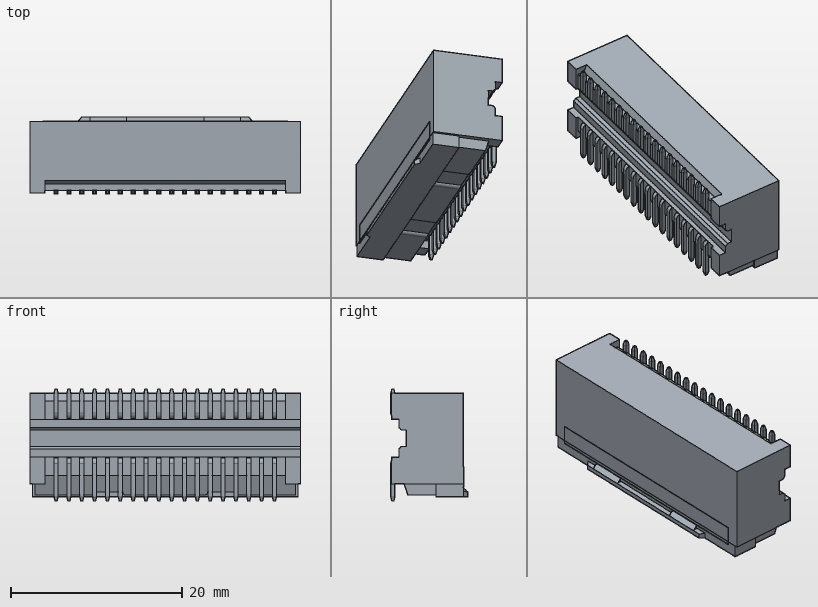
import cadquery as cq
import math


housing_length = 31.6
housing_depth = 8.38
housing_height = 10.6

slot_z = 5.35
outer_slot_height = 4.4
outer_slot_depth = 0.85
inner_slot_height = 1.9
inner_slot_depth = 1.7
slot_chamfer = 0.3

end_wall = 1.75
recess_length = housing_length - 2 * end_wall
recess_depth = 0.3
shelf_depth = 1.1
top_shelf_z = 9.7
bottom_shelf_z = 2 * slot_z - top_shelf_z
top_recess_depth = 1.5

skirt_length = 30.4
skirt_bottom = -1.3
skirt_front_bottom = 1.9

grip_offset = 6.65
notch_width = 3.4
notch_height = 0.35
notch_round = notch_height
bump_width = 4.25

plate_length = 31.0
plate_thickness = 3.2
plate_bottom = -1.5
plate_front = housing_depth - plate_thickness
lip_depth = 0.52
lip_length = 20.4
lip_end_taper = 0.45
bump_rise = lip_depth
lip_height = 0.55
lip_top_rise = 0.13
lip_top = plate_bottom + lip_height
pad_length = 28.6
pad_thickness = 0.06
pad_top = 2.0
pad_bottom = -0.35

pins_per_row = 18
pin_pitch = 1.5
pin_size = 0.5
pin_front = -0.1
pin_tip_length = 0.5
pin_tip_size = 0.25
bottom_pin_shoulder = plate_bottom
top_pin_shoulder = housing_height
bend_radius = 0.75
bend_start = 2.4
pin_root_depth = 2.0


def along_x(outline, length, center=0.0):
    """Extrude a closed outline of (y, z) points along X, centred on the given X."""
    prism = cq.Workplane("YZ").polyline(outline).close().extrude(length / 2, both=True)
    return prism.translate((center, 0, 0))


def housing_block():
    slot_step = slot_chamfer + inner_slot_height / 2
    lower = [
        (0, slot_z - outer_slot_height / 2),
        (outer_slot_depth, slot_z - outer_slot_height / 2),
        (outer_slot_depth, slot_z - slot_step),
        (outer_slot_depth + slot_chamfer, slot_z - inner_slot_height / 2),
        (inner_slot_depth, slot_z - inner_slot_height / 2),
    ]
    upper = [(y, 2 * slot_z - z) for y, z in reversed(lower)]
    back = [(0, housing_height), (housing_depth, housing_height), (housing_depth, 0), (0, 0)]
    return along_x(lower + upper + back, housing_length)


def top_recess():
    slot_wall = slot_z + outer_slot_height / 2
    outline = [
        (0, slot_wall),
        (recess_depth, slot_wall),
        (recess_depth, top_shelf_z),
        (shelf_depth, top_shelf_z),
        (top_recess_depth, housing_height),
        (0, housing_height),
    ]
    return along_x(outline, recess_length)


def skirt_slope_depth(z):
    """Y of the sloping skirt front at height z."""
    fraction = (bottom_shelf_z - z) / (bottom_shelf_z - skirt_bottom)
    return shelf_depth + fraction * (skirt_front_bottom - shelf_depth)


def bottom_recess():
    slot_wall = slot_z - outer_slot_height / 2
    outline = [
        (0, 0),
        (0, slot_wall),
        (recess_depth, slot_wall),
        (recess_depth, bottom_shelf_z),
        (shelf_depth, bottom_shelf_z),
        (skirt_slope_depth(0), 0),
    ]
    return along_x(outline, recess_length)


def grip_notch(center):
    """Cutter for one skirt notch, flaring out to the underside over rounded corners."""
    half = notch_width / 2
    mouth = half + notch_round
    top = skirt_bottom + notch_height
    bend = notch_round * (1 - math.sqrt(0.5))
    return (
        cq.Workplane("XZ")
        .moveTo(center - mouth, skirt_bottom)
        .threePointArc((center - half - bend, skirt_bottom + bend), (center - half, top))
        .lineTo(center + half, top)
        .threePointArc((center + half + bend, skirt_bottom + bend), (center + mouth, skirt_bottom))
        .close()
        .extrude(-plate_front)
    )


def skirt():
    outline = [
        (skirt_slope_depth(0), 0),
        (skirt_front_bottom, skirt_bottom),
        (plate_front, skirt_bottom),
        (plate_front, 0),
    ]
    body = along_x(outline, skirt_length)
    for side in (-1, 1):
        body = body.cut(grip_notch(side * grip_offset))
    return body


def bottom_pin(x, shoulder_z):
    """A pin pointing down: a root in the housing, a bend and a leg with a tapered tip at shoulder_z."""
    pin_back = pin_front + pin_size
    bend_y = pin_front + bend_radius
    inner_radius = bend_radius - pin_size
    diagonal = math.sqrt(0.5)
    leg = (
        cq.Workplane("YZ")
        .moveTo(pin_front, shoulder_z)
        .lineTo(pin_front, bend_start)
        .threePointArc(
            (bend_y - bend_radius * diagonal, bend_start + bend_radius * diagonal),
            (bend_y, bend_start + bend_radius),
        )
        .lineTo(pin_root_depth, bend_start + bend_radius)
        .lineTo(pin_root_depth, bend_start + inner_radius)
        .lineTo(bend_y, bend_start + inner_radius)
        .threePointArc(
            (bend_y - inner_radius * diagonal, bend_start + inner_radius * diagonal),
            (pin_back, bend_start),
        )
        .lineTo(pin_back, shoulder_z)
        .close()
        .extrude(pin_size / 2, both=True)
    )
    tip = (
        cq.Workplane("XY", origin=(0, pin_front + pin_size / 2, shoulder_z))
        .rect(pin_size, pin_size)
        .workplane(offset=-pin_tip_length)
        .rect(pin_tip_size, pin_tip_size)
        .loft()
    )
    return leg.union(tip).translate((x, 0, 0))


def top_pin(x, shoulder_z):
    """A pin pointing up: a downward pin mirrored about the middle of the slot."""
    return bottom_pin(x, 2 * slot_z - shoulder_z).mirror("XY", (0, 0, slot_z))


def make_housing():
    body = housing_block().cut(top_recess()).cut(bottom_recess()).union(skirt())
    first_pin = -(pins_per_row - 1) * pin_pitch / 2
    for index in range(pins_per_row):
        x = first_pin + index * pin_pitch
        body = body.union(bottom_pin(x, bottom_pin_shoulder))
        body = body.union(top_pin(x, top_pin_shoulder))
    return body


def lip():
    """Rear lip with tapered ends, a slightly sloping top and two raised finger bumps."""
    lip_back = housing_depth + lip_depth
    outline = [
        (housing_depth, plate_bottom),
        (lip_back, plate_bottom),
        (lip_back, lip_top),
        (housing_depth, lip_top + lip_top_rise),
    ]
    plan = [
        (-lip_length / 2, housing_depth),
        (-lip_length / 2 + lip_end_taper, lip_back),
        (lip_length / 2 - lip_end_taper, lip_back),
        (lip_length / 2, housing_depth),
    ]
    tapered = (
        cq.Workplane("XY", origin=(0, 0, plate_bottom))
        .polyline(plan)
        .close()
        .extrude(lip_height + lip_top_rise)
    )
    body = along_x(outline, lip_length).intersect(tapered)
    bump = [(housing_depth, lip_top), (lip_back, lip_top), (housing_depth, lip_top + bump_rise)]
    for side in (-1, 1):
        body = body.union(along_x(bump, bump_width, side * grip_offset))
    return body


def make_cover():
    plate = along_x(
        [
            (plate_front, plate_bottom),
            (housing_depth, plate_bottom),
            (housing_depth, 0),
            (plate_front, 0),
        ],
        plate_length,
    )
    pad_back = housing_depth + pad_thickness
    pad = along_x(
        [(housing_depth, pad_bottom), (pad_back, pad_bottom), (pad_back, pad_top), (housing_depth, pad_top)],
        pad_length,
    )
    return plate.union(pad).union(lip())


housing = make_housing()
cover = make_cover()
result = cq.Compound.makeCompound([housing.val(), cover.val()])